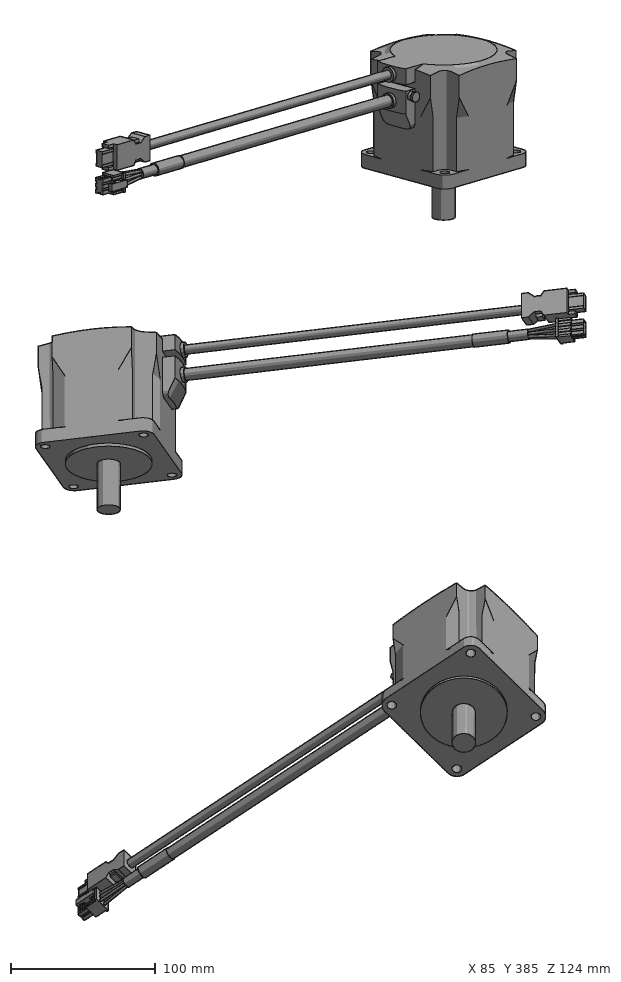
import cadquery as cq
import math


flange_side = 85.0
half_side = flange_side / 2
flange_thickness = 10.0
flange_corner_radius = 8.0
bolt_circle_diameter = 100.0
bolt_hole_diameter = 6.5
bolt_offset = bolt_circle_diameter / 2 * math.cos(math.pi / 4)

pilot_diameter = 60.0
pilot_height = 2.5
shaft_diameter = 16.0
shaft_reach = 37.0

body_top = 83.5
disc_radius = 37.0
crown_radius = 40.5
crown_drop = 1.5
crown_slope = 0.2
pocket_edge = 28.5
pocket_fillet = 7.0

bevel_start = 19.2
bevel_depth = 2.7
bevel_top = 48.5
bevel_tip = 64.0

outlet_half_width = 13.5
outlet_side_y = -51.5
outlet_front_y = -53.0
upper_outlet_bottom = 72.0
lower_outlet_top = 67.5
lower_outlet_knee = 51.0
lower_outlet_bottom = 38.0
lower_outlet_toe_y = -47.0
lower_outlet_radius = 4.2
collar_diameter = 10.8
collar_length = 2.5

screw_y = -46.5
screw_z = 63.0
screw_shank_diameter = 6.5
screw_head_diameter = 7.5
screw_head_start = 16.5
screw_end = 18.5

overall_length = 385.0
tip_y = half_side - overall_length
upper_cable_z = 77.5
upper_cable_diameter = 6.5
plug_rear_y = -298.8
plug_front_y = -331.5
plug_half_width = 6.5
plug_height = 18.5
plug_z = 77.8
notch_start_y = -303.8
notch_floor_start_y = -308.0
notch_floor_end_y = -312.5
notch_end_y = -315.0
notch_depth = 3.5
clamp_half_width = 3.5
clamp_x = 1.0
clamp_height = 2.5
tongue_half_width = 3.0
tongue_height = 11.5
tongue_panel_height = 7.7
tongue_panel_depth = 0.5
latch_tab_end_y = -336.5
latch_tab_thickness = 2.5

lower_cable_z = 58.5
lower_cable_diameter = 8.5
sleeve_start_y = -262.5
sleeve_end_y = -288.0
sleeve_diameter = 9.2
jacket_diameter = 7.5
jacket_end_y = -302.2
connector_rear_y = -323.5
connector_front_y = -333.8
connector_half_width = 5.5
connector_height = 14.0
connector_z = 58.0
rear_rim_half_width = 6.5
rear_rim_length = 1.5
window_depth = 1.0
window_height = 2.5
cell_pitch_z = 4.2
cell_pitch_x = 4.2
cell_size = 2.7
nose_core_width = 5.5
nose_core_height = 9.2
wire_diameter = 2.0
wire_bundle_ratio = 0.5
wire_embed = 1.0

lever_inner_x = 7.5
lever_outer_x = 9.2
lever_height = 5.5
lever_rear_y = -324.0
lever_end_y = -339.5
lever_bridge_y = -328.8
hook_length = 2.0
hook_inner_x = 6.0


def block(x_range, y_range, z_range):
    """Box between the given limits along each axis."""
    (x0, x1), (y0, y1), (z0, z1) = (sorted(r) for r in (x_range, y_range, z_range))
    return cq.Workplane("XY").box(x1 - x0, y1 - y0, z1 - z0, centered=False).translate((x0, y0, z0))


def rod_y(diameter, y_start, y_end, z):
    """Round rod along -Y at X = 0."""
    return (
        cq.Workplane("XZ", origin=(0, y_start, z))
        .circle(diameter / 2)
        .extrude(y_start - y_end)
    )


def side_profile(points, half_width):
    """Prism of a (Y, Z) outline, symmetric about X = 0."""
    return cq.Workplane("YZ").polyline(points).close().extrude(half_width, both=True)


def polyhedron(faces):
    """Solid bounded by flat faces, each given by its corner points."""
    walls = [cq.Face.makeFromWires(cq.Wire.makePolygon(f, close=True)) for f in faces]
    return cq.Workplane(cq.Solid.makeSolid(cq.Shell.makeShell(walls)))


def around_corners(shape):
    """Copies of a shape at the four corners of the square."""
    return [shape.rotate((0, 0, 0), (0, 0, 1), quarter * 90) for quarter in range(4)]


def make_flange():
    flange = (
        cq.Workplane("XY")
        .rect(flange_side, flange_side)
        .extrude(flange_thickness)
        .edges("|Z")
        .fillet(flange_corner_radius)
    )
    holes = (
        cq.Workplane("XY")
        .rect(2 * bolt_offset, 2 * bolt_offset, forConstruction=True)
        .vertices()
        .circle(bolt_hole_diameter / 2)
        .extrude(flange_thickness)
    )
    pilot = cq.Workplane("XY").circle(pilot_diameter / 2).extrude(-pilot_height)
    shaft = cq.Workplane("XY").circle(shaft_diameter / 2).extrude(-shaft_reach)
    return flange.cut(holes).union(pilot).union(shaft)


def corner_bevel():
    """Wedge with a pointed upper end, beside the corner pocket on the +Y face."""
    bottom_start = (bevel_start, half_side, flange_thickness)
    bottom_outer = (pocket_edge, half_side, flange_thickness)
    bottom_inner = (pocket_edge, half_side - bevel_depth, flange_thickness)
    top_start = (bevel_start, half_side, bevel_top)
    top_inner = (pocket_edge, half_side - bevel_depth, bevel_top)
    tip = (pocket_edge, half_side, bevel_tip)
    return polyhedron(
        [
            [bottom_start, bottom_outer, bottom_inner],
            [bottom_start, bottom_inner, top_inner, top_start],
            [bottom_start, top_start, tip, bottom_outer],
            [bottom_inner, bottom_outer, tip, top_inner],
            [top_start, top_inner, tip],
        ]
    )


def make_body():
    crown_z = body_top - crown_drop
    outer_radius = half_side * math.sqrt(2)
    outer_z = crown_z - crown_slope * (outer_radius - crown_radius)
    crown = (
        cq.Workplane("XZ")
        .polyline(
            [
                (0, flange_thickness),
                (outer_radius, flange_thickness),
                (outer_radius, outer_z),
                (crown_radius, crown_z),
                (disc_radius, body_top),
                (0, body_top),
            ]
        )
        .close()
        .revolve(360, (0, 0), (0, 1))
    )
    square = block((-half_side, half_side), (-half_side, half_side), (flange_thickness, body_top))
    body = square.intersect(crown)

    pocket_limits = (pocket_edge, half_side + pocket_fillet)
    pocket = (
        block(pocket_limits, pocket_limits, (flange_thickness, body_top))
        .edges("|Z and <X and <Y")
        .fillet(pocket_fillet)
    )
    bevel = corner_bevel()
    other_bevel = bevel.mirror("YZ")
    for cutter in (pocket, bevel, other_bevel):
        for placed in around_corners(cutter):
            body = body.cut(placed)
    return body


def outlet_outline(z, y_back, setback=0):
    """Flat outline of an outlet at height z: straight sides and a gently bowed front."""
    side_y = outlet_side_y + setback
    return (
        cq.Workplane("XY", origin=(0, 0, z))
        .moveTo(-outlet_half_width, y_back)
        .lineTo(-outlet_half_width, side_y)
        .threePointArc((0, outlet_front_y + setback), (outlet_half_width, side_y))
        .lineTo(outlet_half_width, y_back)
        .close()
    )


def make_outlets():
    upper_back_y = -disc_radius / 2
    lower_back_y = -disc_radius
    upper = outlet_outline(upper_outlet_bottom, upper_back_y).extrude(body_top - upper_outlet_bottom)
    lower_face = outlet_outline(lower_outlet_knee, lower_back_y)
    straight = lower_face.extrude(lower_outlet_top - lower_outlet_knee)
    toe = outlet_outline(lower_outlet_bottom, lower_back_y, lower_outlet_toe_y - outlet_front_y)
    sloped = cq.Workplane(cq.Solid.makeLoft([toe.wires().val(), lower_face.wires().val()], True))
    lower = sloped.edges("|Y and <Z").fillet(lower_outlet_radius).union(straight)
    outlets = upper.union(lower)
    for z in (upper_cable_z, lower_cable_z):
        collar_end = outlet_front_y - collar_length
        outlets = outlets.union(rod_y(collar_diameter, -half_side, collar_end, z))
    return outlets


def make_outlet_screw():
    side = cq.Workplane("YZ", origin=(0, screw_y, screw_z))
    shank = side.circle(screw_shank_diameter / 2).extrude(screw_end)
    head = (
        side.workplane(offset=screw_head_start)
        .circle(screw_head_diameter / 2)
        .extrude(screw_end - screw_head_start)
    )
    return shank.union(head)


def make_upper_plug():
    cable = rod_y(upper_cable_diameter, -half_side, plug_rear_y, upper_cable_z)
    half_height = plug_height / 2
    plug = block(
        (-plug_half_width, plug_half_width),
        (plug_rear_y, plug_front_y),
        (plug_z - half_height, plug_z + half_height),
    )
    for side in (1, -1):
        surface = plug_z + side * half_height
        floor = surface - side * notch_depth
        notch = side_profile(
            [
                (notch_start_y, surface),
                (notch_floor_start_y, floor),
                (notch_floor_end_y, floor),
                (notch_end_y, surface),
            ],
            plug_half_width,
        )
        clamp = block(
            (clamp_x - clamp_half_width, clamp_x + clamp_half_width),
            (notch_floor_start_y, notch_floor_end_y),
            (floor, floor + side * clamp_height),
        )
        tab = block(
            (-tongue_half_width, tongue_half_width),
            (plug_front_y, latch_tab_end_y),
            (surface, surface - side * latch_tab_thickness),
        )
        plug = plug.cut(notch).union(clamp).union(tab)
    tongue_y = (plug_front_y, tip_y)
    tongue_x = (-tongue_half_width, tongue_half_width)
    tongue = block(tongue_x, tongue_y, (plug_z - tongue_height / 2, plug_z + tongue_height / 2))
    panel_z = (plug_z - tongue_panel_height / 2, plug_z + tongue_panel_height / 2)
    for x in tongue_x:
        panel_x = (x, x - math.copysign(tongue_panel_depth, x))
        tongue = tongue.cut(block(panel_x, tongue_y, panel_z))
    return cable.union(plug).union(tongue)


def cell_places():
    """Offsets (X, Z) of the two columns of three cells."""
    return [
        (column * cell_pitch_x, row * cell_pitch_z)
        for column in (-0.5, 0.5)
        for row in (-1, 0, 1)
    ]


def make_wire(x, z):
    """Straight wire from the jacket to the connector cell at offset (x, z)."""
    start = cq.Vector(
        x * wire_bundle_ratio,
        jacket_end_y + wire_embed,
        lower_cable_z + z * wire_bundle_ratio,
    )
    end = cq.Vector(x, connector_rear_y - wire_embed, connector_z + z)
    run = end - start
    return cq.Workplane(cq.Solid.makeCylinder(wire_diameter / 2, run.Length, start, run))


def make_lower_connector():
    half_height = connector_height / 2
    z_limits = (connector_z - half_height, connector_z + half_height)
    connector = block(
        (-connector_half_width, connector_half_width), (connector_rear_y, connector_front_y), z_limits
    )
    rim_front_y = connector_rear_y - rear_rim_length
    rim = block((-rear_rim_half_width, rear_rim_half_width), (connector_rear_y, rim_front_y), z_limits)
    connector = connector.union(rim)
    core = block(
        (-nose_core_width / 2, nose_core_width / 2),
        (connector_front_y, tip_y),
        (connector_z - nose_core_height / 2, connector_z + nose_core_height / 2),
    )
    connector = connector.union(core)
    for x, z in cell_places():
        cell_z = connector_z + z
        cell = block(
            (x - cell_size / 2, x + cell_size / 2),
            (connector_front_y, tip_y),
            (cell_z - cell_size / 2, cell_z + cell_size / 2),
        )
        wall_x = math.copysign(connector_half_width, x)
        window = block(
            (wall_x, wall_x - math.copysign(window_depth, x)),
            (rim_front_y, connector_front_y),
            (cell_z - window_height / 2, cell_z + window_height / 2),
        )
        connector = connector.cut(window).union(cell)
    return connector.union(make_lever())


def make_lever():
    """Latch lever on the +X side, joined to the connector by a bridge and hooked at its end."""
    z_limits = (connector_z - lever_height / 2, connector_z + lever_height / 2)
    arm = block((lever_inner_x, lever_outer_x), (lever_rear_y, lever_end_y), z_limits)
    bridge_limits = (lever_bridge_y, connector_front_y)
    bridge = block((connector_half_width - window_depth, lever_outer_x), bridge_limits, z_limits)
    hook = block((hook_inner_x, lever_outer_x), (lever_end_y + hook_length, lever_end_y), z_limits)
    return arm.union(bridge).union(hook)


def make_lower_harness():
    harness = rod_y(lower_cable_diameter, -half_side, sleeve_end_y, lower_cable_z)
    harness = harness.union(rod_y(sleeve_diameter, sleeve_start_y, sleeve_end_y, lower_cable_z))
    harness = harness.union(rod_y(jacket_diameter, sleeve_end_y, jacket_end_y, lower_cable_z))
    for x, z in cell_places():
        harness = harness.union(make_wire(x, z))
    return harness.union(make_lower_connector())


result = (
    make_flange()
    .union(make_body())
    .union(make_outlets())
    .union(make_outlet_screw())
    .union(make_upper_plug())
    .union(make_lower_harness())
)